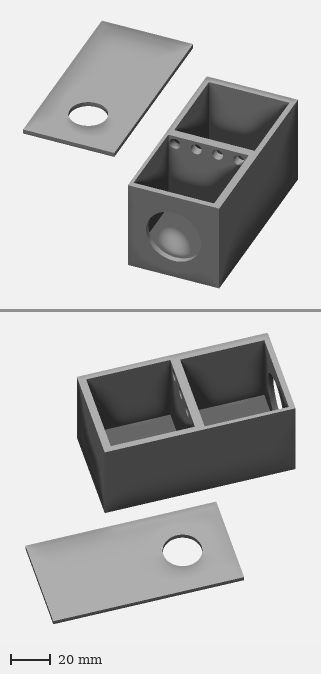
import cadquery as cq

total_width = 129.0
total_length = 150.0
length = total_length * 2 / 3
width = length / 2
height = width

plate_thickness = height * 0.05
plate_hole_diameter = width * 0.4
plate_hole_y = width / 2

housing_x = total_width - width
housing_y = length - total_length
housing_z = -height / 2

pocket_size = 44.1
floor_thickness = height * 0.1
front_wall = 3.0
front_pocket_left_wall = 1.8
back_wall = 4.0
back_pocket_left_wall = 3.0

window_diameter = 30.0

vent_diameter = 6.0
vent_count = 4
vent_spacing = 11.7
first_vent_x = 5.4
vent_drop = 4.6


def corner_box(size_x, size_y, size_z, corner):
    """Box whose lowest X, Y, Z corner is at the given point."""
    return cq.Workplane("XY").box(size_x, size_y, size_z, centered=False).translate(corner)


def y_cylinder(diameter, depth, x, y, z):
    """Cylinder running from y toward +Y."""
    return cq.Workplane("XZ", origin=(x, y, z)).circle(diameter / 2).extrude(-depth)


def make_plate():
    plate = corner_box(width, length, plate_thickness, (0, 0, 0))
    hole = (
        cq.Workplane("XY")
        .center(width / 2, plate_hole_y)
        .circle(plate_hole_diameter / 2)
        .extrude(plate_thickness)
    )
    return plate.cut(hole)


def make_housing():
    """Open-topped housing with its lower front left corner at the origin."""
    housing = corner_box(width, length, height, (0, 0, 0))

    back_pocket_y = length - back_wall - pocket_size
    pocket_depth = height - floor_thickness
    pocket_corners = [
        (front_pocket_left_wall, front_wall, floor_thickness),
        (back_pocket_left_wall, back_pocket_y, floor_thickness),
    ]
    for corner in pocket_corners:
        housing = housing.cut(corner_box(pocket_size, pocket_size, pocket_depth, corner))

    housing = housing.cut(y_cylinder(window_diameter, front_wall, width / 2, 0, height / 2))

    divider_y = front_wall + pocket_size
    divider_thickness = back_pocket_y - divider_y
    for index in range(vent_count):
        vent_x = first_vent_x + index * vent_spacing
        vent = y_cylinder(vent_diameter, divider_thickness, vent_x, divider_y, height - vent_drop)
        housing = housing.cut(vent)

    return housing.translate((housing_x, housing_y, housing_z))


plate = make_plate()
housing = make_housing()
result = cq.Compound.makeCompound([plate.val(), housing.val()])